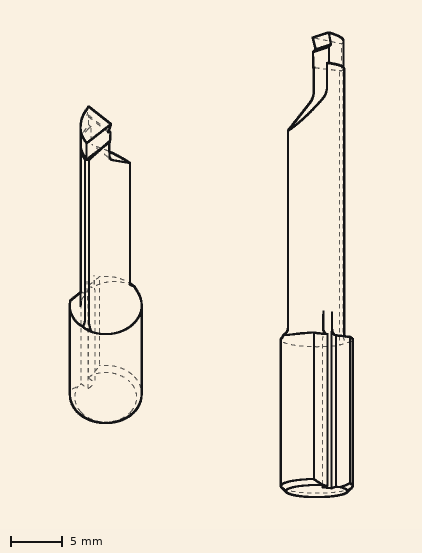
import cadquery as cq
import math

overall_length = 45.0

shank_radius = 3.5
shank_length = 15.0
flat_x = -2.85
bottom_chamfer = 0.5

neck_top_z = 42.0
neck_back_x = -2.12
neck_half_height = 3.13
neck_face_x = 0.25
neck_face_tilt = 3.0
neck_corner_rise = 0.2
root_fillet = 0.8

wall_y = 0.1
ramp_top_z = 39.0
ramp_slope = 50.0
ramp_fillet = 2.0

head_corner_x = 0.63
head_end_x = 0.38
head_end_y = -3.02
head_side_taper = 0.13
head_land_x = -2.44
head_back_x = -2.32
head_land_depth = 0.4
head_arc_mid = (-1.47, -2.0)
top_relief_angle = 6.0

breaker_depth = 0.3
breaker_height = 1.45
breaker_root_drop = 1.15

slot_width = 1.0
slot_floor_x = -1.94
slot_bend_z = 14.1
slot_end_z = 18.3

margin = 2.0


def make_shank_envelope(height):
    """Round bar with a chamfered lower end and the locating flat."""
    bar = cq.Workplane("XY").circle(shank_radius).extrude(height)
    bar = bar.faces("<Z").chamfer(bottom_chamfer)
    flat_half_width = shank_radius + margin
    flat_cutter = cq.Workplane("XY").box(
        margin, 2 * flat_half_width, height, centered=(False, True, False)
    )
    return bar.cut(flat_cutter.translate((flat_x - margin, 0, 0)))


def make_neck_on_shank():
    """Neck with a filleted root, trimmed to the outline of the shank."""
    corner_y = neck_corner_rise - neck_half_height
    face_run = neck_half_height - corner_y
    corner_x = neck_face_x + face_run * math.tan(math.radians(neck_face_tilt))
    neck = (
        cq.Workplane("XY")
        .moveTo(neck_face_x, neck_half_height)
        .threePointArc((neck_back_x, 0), (neck_face_x, -neck_half_height))
        .lineTo(corner_x, corner_y)
        .close()
        .extrude(neck_top_z)
    )
    base = cq.Workplane("XY").circle(shank_radius + margin).extrude(shank_length)
    root_edges = cq.selectors.BoxSelector(
        (-shank_radius, -shank_radius, shank_length - root_fillet / 2),
        (shank_radius, shank_radius, shank_length + root_fillet / 2),
    )
    body = base.union(neck).edges(root_edges).fillet(root_fillet)
    return body.intersect(make_shank_envelope(neck_top_z))


def make_ramp_cutter():
    """Space beyond the wall, closed below by a ramp blended into the wall."""
    far_y = shank_radius + margin
    far_z = ramp_top_z - (far_y - wall_y) * math.tan(math.radians(ramp_slope))
    profile = [
        (wall_y, ramp_top_z),
        (far_y, far_z),
        (far_y, overall_length),
        (wall_y, overall_length),
    ]
    cutter = cq.Workplane("YZ").polyline(profile).close().extrude(shank_radius + margin, both=True)
    corner = cq.selectors.NearestToPointSelector((0, wall_y, ramp_top_z))
    return cutter.edges("|X").edges(corner).fillet(ramp_fillet)


def head_outline(z, side_inset):
    """Closed outline of the head at height z, with its +X corner at the wall moved inwards."""
    outline = (
        cq.Workplane("XY")
        .workplane(offset=z)
        .moveTo(head_corner_x - side_inset, wall_y)
        .lineTo(head_land_x, wall_y)
        .lineTo(head_back_x, wall_y - head_land_depth)
        .threePointArc(head_arc_mid, (head_end_x, head_end_y))
        .close()
    )
    return outline.val()


def make_head():
    """Cutting tip with a relieved top face and a chip breaker."""
    lower_outline = head_outline(neck_top_z, head_side_taper)
    upper_outline = head_outline(overall_length, 0)
    head = cq.Workplane(cq.Solid.makeLoft([lower_outline, upper_outline], True))
    return head.cut(make_top_relief()).cut(make_chip_breaker())


def make_top_relief():
    """Wedge that lowers the top of the head towards -Y."""
    run = wall_y + shank_radius + margin
    drop = run * math.tan(math.radians(top_relief_angle))
    profile = [
        (wall_y, overall_length),
        (wall_y - run, overall_length),
        (wall_y - run, overall_length - drop),
    ]
    return cq.Workplane("YZ").polyline(profile).close().extrude(shank_radius, both=True)


def make_chip_breaker():
    """Triangular groove that undercuts the cutting edge."""
    profile = [
        (wall_y, overall_length),
        (wall_y - breaker_depth, overall_length - breaker_root_drop),
        (wall_y, overall_length - breaker_height),
    ]
    return cq.Workplane("YZ").polyline(profile).close().extrude(shank_radius, both=True)


def make_slot_cutter():
    """Slot with an upright floor that leans out to the back of the neck."""
    outside_x = flat_x - margin
    profile = [
        (outside_x, 0),
        (slot_floor_x, 0),
        (slot_floor_x, slot_bend_z),
        (neck_back_x, slot_end_z),
        (outside_x, slot_end_z),
    ]
    return cq.Workplane("XZ").polyline(profile).close().extrude(slot_width / 2, both=True)


body = make_neck_on_shank().cut(make_ramp_cutter())
result = body.union(make_head()).cut(make_slot_cutter())